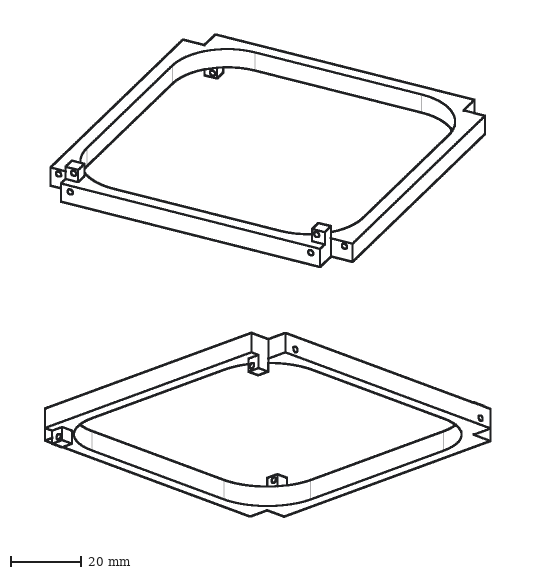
import cadquery as cq
import math

side = 96.8
total_height = 14.0
thickness = 6.0
notch = 6.9
wall = 4.2
opening_radius = 17.5

tab_height = (total_height - thickness) / 2
tab_width = 4.1
tab_depth = 4.0

hole_diameter = 1.6
tip_angle = 118.0
blind_depth = 2.9
tab_hole_inset = 2.6
tab_hole_edge = 1.5
ear_hole_inset = 2.6
ear_hole_drop = thickness / 4
front_hole_x = 38.5
front_hole_drop = 2.0
side_hole_y = 37.5
side_hole_rise = 2.0

half = side / 2
shoulder = half - notch
top = thickness / 2
tab_end = top + tab_height


def make_frame():
    """Square ring with notched outer corners and a rounded opening."""
    plate = cq.Workplane("XY").box(side, side, thickness)
    notches = (
        cq.Workplane("XY")
        .rect(side, side, forConstruction=True)
        .vertices()
        .rect(2 * notch, 2 * notch)
        .extrude(thickness, both=True)
    )
    opening_side = side - 2 * wall
    opening = (
        cq.Workplane("XY")
        .box(opening_side, opening_side, 2 * thickness)
        .edges("|Z")
        .fillet(opening_radius)
    )
    return plate.cut(notches).cut(opening)


def make_tab(x_sign, y_sign):
    """Drilled tab above the front bar (y_sign -1) or below the rear bar (y_sign +1)."""
    z_sign = -y_sign
    block = cq.Workplane("XY").box(tab_width, tab_depth, tab_end).translate((
        x_sign * (shoulder - tab_width / 2),
        y_sign * (shoulder + tab_depth / 2),
        z_sign * tab_end / 2,
    ))
    hole = (
        cq.Workplane("XZ")
        .center(x_sign * (shoulder - tab_hole_inset), z_sign * (tab_end - tab_hole_edge))
        .circle(hole_diameter / 2)
        .extrude(side, both=True)
    )
    return block.cut(hole)


def drill(point, direction):
    """Blind drilled hole with a conical tip, starting at point."""
    radius = hole_diameter / 2
    tip_depth = radius / math.tan(math.radians(tip_angle / 2))
    start = cq.Vector(*point)
    axis = cq.Vector(*direction)
    bore = cq.Solid.makeCylinder(radius, blind_depth, start, axis)
    tip = cq.Solid.makeCone(radius, 0, tip_depth, start + axis * blind_depth, axis)
    return bore.fuse(tip)


result = make_frame()

for x_sign in (-1, 1):
    for y_sign in (-1, 1):
        result = result.union(make_tab(x_sign, y_sign))

for sign in (-1, 1):
    ear_point = (sign * (half - ear_hole_inset), -shoulder, top - ear_hole_drop)
    result = result.cut(drill(ear_point, (0, 1, 0)))
    front_point = (sign * front_hole_x, -half, top - front_hole_drop)
    result = result.cut(drill(front_point, (0, 1, 0)))
    side_point = (-half, sign * side_hole_y, side_hole_rise - top)
    result = result.cut(drill(side_point, (1, 0, 0)))